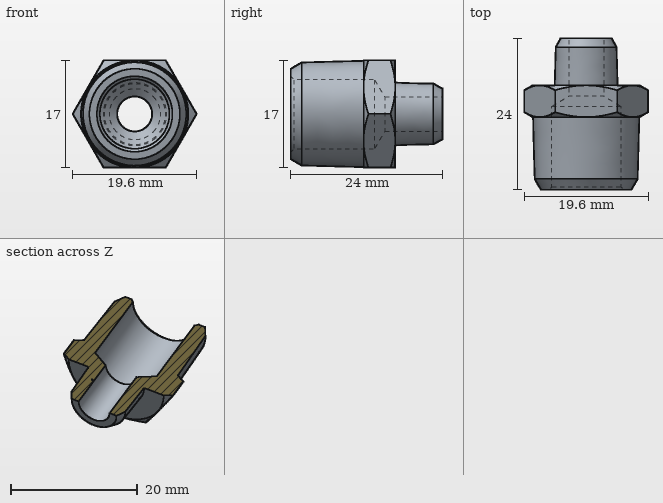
import cadquery as cq
import math

total_length = 24.0
large_length = 11.52
hex_length = 5.0
hex_start = -total_length / 2 + large_length
hex_end = hex_start + hex_length
mouth = -total_length / 2
tail = total_length / 2

across_flats = 17.0
across_corners = across_flats / math.cos(math.radians(30))
hex_chamfer_angle = 30.0

large_root_radius = 8.42
large_front_radius = 8.15
large_tip_radius = 7.15
large_chamfer_length = 1.73

small_root_radius = 5.0
small_front_radius = 4.82
small_tip_radius = 4.03
small_chamfer_length = 1.45

bore_radius = 11.0 / 2
passage_radius = 5.5 / 2
bore_depth = 13.2
drill_point_angle = 118.0
mouth_radius = 5.98
mouth_chamfer_angle = 45.0


def revolve_profile(points):
    """Revolve a closed outline of (radius, y) points about the Y axis."""
    return cq.Workplane("XY").polyline(points).close().revolve(360, (0, 0, 0), (0, 1, 0))


def make_hexagon():
    """Hexagonal prism whose corners are cut back by a cone at both ends."""
    prism = (
        cq.Workplane("XZ", origin=(0, hex_start, 0))
        .polygon(6, across_corners)
        .extrude(-hex_length)
    )
    face_radius = across_flats / 2
    corner_radius = across_corners / 2
    corner_drop = (corner_radius - face_radius) * math.tan(math.radians(hex_chamfer_angle))
    envelope = revolve_profile([
        (0, hex_start),
        (face_radius, hex_start),
        (corner_radius, hex_start + corner_drop),
        (corner_radius, hex_end - corner_drop),
        (face_radius, hex_end),
        (0, hex_end),
    ])
    return prism.intersect(envelope)


def make_spigots():
    """Both tapered ends, joined by a core through the hexagon."""
    return revolve_profile([
        (0, mouth),
        (large_tip_radius, mouth),
        (large_front_radius, mouth + large_chamfer_length),
        (large_root_radius, hex_start),
        (small_root_radius, hex_start),
        (small_root_radius, hex_end),
        (small_front_radius, tail - small_chamfer_length),
        (small_tip_radius, tail),
        (0, tail),
    ])


def make_bore():
    """Countersunk bore, conical floor and narrow passage to the small end."""
    mouth_chamfer_length = (mouth_radius - bore_radius) / math.tan(math.radians(mouth_chamfer_angle))
    floor_length = (bore_radius - passage_radius) / math.tan(math.radians(drill_point_angle / 2))
    return revolve_profile([
        (0, mouth),
        (mouth_radius, mouth),
        (bore_radius, mouth + mouth_chamfer_length),
        (bore_radius, mouth + bore_depth),
        (passage_radius, mouth + bore_depth + floor_length),
        (passage_radius, tail),
        (0, tail),
    ])


result = make_hexagon().union(make_spigots()).cut(make_bore())